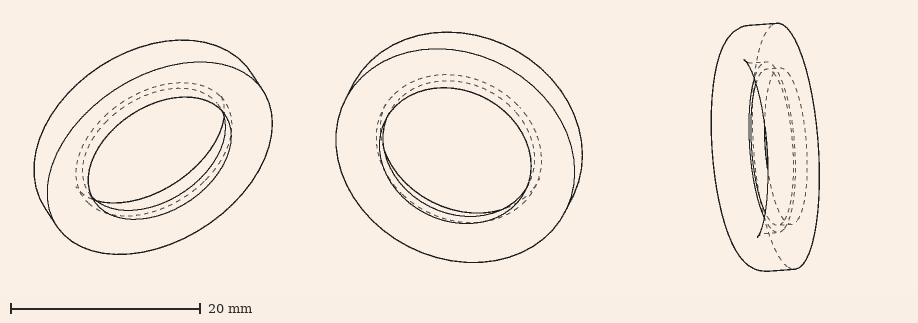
import cadquery as cq

outer_diameter = 26.0
bore_diameter = 18.0
lip_diameter = 16.5
ring_width = 5.0
lip_thickness = 1.5

outer_radius = outer_diameter / 2
bore_radius = bore_diameter / 2
lip_radius = lip_diameter / 2
nose_radius = (outer_radius - bore_radius) / 2
nose_center_radius = bore_radius + nose_radius
lip_front = ring_width - lip_thickness


def ring_profile():
    """Half section in the XY plane: X along the axis, Y as the radius."""
    return (
        cq.Workplane("XY")
        .moveTo(nose_radius, bore_radius)
        .threePointArc((0, nose_center_radius), (nose_radius, outer_radius))
        .lineTo(ring_width, outer_radius)
        .lineTo(ring_width, lip_radius)
        .lineTo(lip_front, lip_radius)
        .lineTo(lip_front, bore_radius)
        .close()
    )


result = ring_profile().revolve(360, (0, 0, 0), (1, 0, 0))